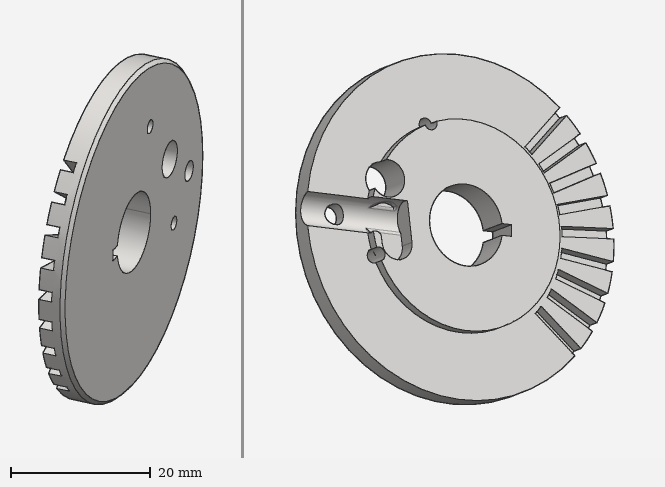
import cadquery as cq
import math


disc_radius = 25.3
disc_thickness = 3.9
rim_chamfer = 0.55
hub_radius = 15.5
hub_height = 1.6

bore_diameter = 12.0
keyway_width = 1.7
keyway_reach = 7.5

large_hole = {"radius": 2.75, "distance": 14.0, "angle": 23}
groove_hole = {"radius": 1.5, "distance": 19.8, "angle": 0}
edge_hole_radius = 1.0
edge_hole_angles = (68, -22)

slot_count = 9
slot_pitch = 11
slot_fan_center = 176
slot_width = 1.5
slot_depth = 2.05
slot_inner_distance = 16.75

groove_radius = 2.65
groove_axis_x = -hub_height / 2
pocket_radius = 2.5
pocket_start_y = 11.85
pocket_length = 3.85
pocket_tilt = 7
pocket_depth = 1.2
pocket_edge_fillet = 0.8

clearance = 0.5
through_start = -hub_height - clearance
through_length = hub_height + disc_thickness + 2 * clearance


def plane_at(x):
    """Sketch plane facing +X, with local x along +Y and local y along +Z."""
    return cq.Workplane("YZ", origin=(x, 0, 0))


def polar(distance, angle):
    """Y and Z of a place on the disc."""
    a = math.radians(angle)
    return distance * math.cos(a), distance * math.sin(a)


def through_hole(radius, distance, angle):
    return plane_at(through_start).center(*polar(distance, angle)).circle(radius).extrude(through_length)


def body():
    disc = plane_at(0).circle(disc_radius).extrude(disc_thickness).faces(">X").chamfer(rim_chamfer)
    hub = plane_at(-hub_height).circle(hub_radius).extrude(hub_height)
    return disc.union(hub)


def bore():
    keyway = (
        plane_at(through_start)
        .center(-keyway_reach / 2, 0)
        .rect(keyway_reach, keyway_width)
        .extrude(through_length)
    )
    return through_hole(bore_diameter / 2, 0, 0).union(keyway)


def radial_slot(angle):
    length = disc_radius + clearance - slot_inner_distance
    return (
        plane_at(0)
        .center(slot_inner_distance + length / 2, 0)
        .rect(length, slot_width)
        .extrude(slot_depth)
        .rotate((0, 0, 0), (1, 0, 0), angle)
    )


def tilt(shape):
    """Lean a shape drawn about the pocket start so that its lower end moves towards the bore."""
    return shape.rotate((0, pocket_start_y, 0), (1, pocket_start_y, 0), -pocket_tilt)


def pocket():
    """Tilted slot with round ends, cut through the hub into the disc."""
    upright = (
        plane_at(through_start)
        .center(pocket_start_y, -pocket_length / 2)
        .slot2D(pocket_length + 2 * pocket_radius, 2 * pocket_radius, 90)
        .extrude(pocket_depth - through_start)
    )
    return tilt(upright)


def groove():
    """Cylinder along Y that stops at the plane of the pocket's inner wall."""
    bar = (
        cq.Workplane("XZ", origin=(groove_axis_x, disc_radius + clearance, 0))
        .circle(groove_radius)
        .extrude(disc_radius + clearance)
    )
    stop_size = 4 * groove_radius
    stop = tilt(
        plane_at(groove_axis_x - groove_radius)
        .center(pocket_start_y - pocket_radius - stop_size, 0)
        .rect(2 * stop_size, 2 * stop_size)
        .extrude(2 * groove_radius)
    )
    return bar.cut(stop)


def grooved_body():
    """Body with groove and pocket, with rounded edges where the two cuts meet."""
    cut_body = body().cut(groove()).cut(pocket())
    meeting_zone = cq.selectors.BoxSelector(
        (groove_axis_x, pocket_start_y - pocket_radius / 2, -groove_radius),
        (groove_radius, pocket_start_y + pocket_radius, groove_radius),
    )
    return cut_body.edges(meeting_zone).edges("not %CIRCLE").fillet(pocket_edge_fillet)


result = grooved_body().cut(bore())
result = result.cut(through_hole(**large_hole)).cut(through_hole(**groove_hole))
for angle in edge_hole_angles:
    result = result.cut(through_hole(edge_hole_radius, hub_radius, angle))
for i in range(slot_count):
    slot_angle = slot_fan_center + (i - (slot_count - 1) / 2) * slot_pitch
    result = result.cut(radial_slot(slot_angle))